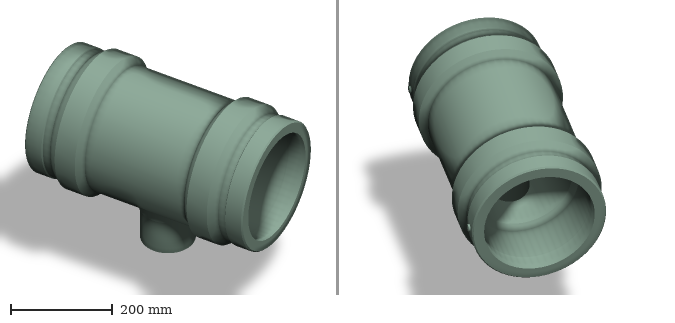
import cadquery as cq

length = 494.0
half_length = length / 2
body_diameter = 264.0
bell_diameter = 293.0
neck_diameter = 267.5
collar_diameter = 272.5

collar_bevel = 3.0
collar_end = 38.5
neck_start = 40.5
neck_end = 56.5
bell_start = 74.5
bell_end = 120.0
body_start = 134.5

mouth_diameter = 225.0
socket_diameter = 225.5
mouth_end = 36.5
socket_start = 40.5
bore_taper_start = 122.0
bore_taper_end = 132.5
bore_diameter = 202.5

branch_diameter = 110.0
branch_collar_diameter = 115.5
branch_bore_diameter = 88.0
branch_collar_bottom = -bell_diameter / 2
overall_height = 371.5
branch_bottom = bell_diameter / 2 - overall_height

pin_diameter = 14.5
pin_inset = 20.5
pin_height = 4.0
pin_top = collar_diameter / 2 + pin_height


def revolve_symmetric(stations):
    """Solid of revolution about X, from (distance from end, diameter) pairs mirrored about X = 0."""
    left = [(inset - half_length, diameter / 2) for inset, diameter in stations]
    right = [(-x, radius) for x, radius in reversed(left)]
    outline = [(-half_length, 0), *left, *right, (half_length, 0)]
    return cq.Workplane("XY").polyline(outline).close().revolve(360, (0, 0, 0), (1, 0, 0))


def downward_cylinder(diameter, bottom):
    """Vertical cylinder from the pipe axis down to the given height."""
    return cq.Workplane("XY").circle(diameter / 2).extrude(bottom)


def terminal_pin(x):
    """Pin reaching from inside the collar wall out to its +Y tip."""
    root = (mouth_diameter + collar_diameter) / 4
    pin = cq.Workplane("XZ", origin=(x, root, 0)).circle(pin_diameter / 2)
    return pin.extrude(root - pin_top)


outer = revolve_symmetric([
    (0, neck_diameter),
    (collar_bevel, collar_diameter),
    (collar_end, collar_diameter),
    (neck_start, neck_diameter),
    (neck_end, neck_diameter),
    (bell_start, bell_diameter),
    (bell_end, bell_diameter),
    (body_start, body_diameter),
])

bore = revolve_symmetric([
    (0, mouth_diameter),
    (mouth_end, mouth_diameter),
    (socket_start, socket_diameter),
    (bore_taper_start, socket_diameter),
    (bore_taper_end, bore_diameter),
])

branch = downward_cylinder(branch_diameter, branch_bottom)
branch_collar = downward_cylinder(branch_collar_diameter, branch_collar_bottom)
branch_bore = downward_cylinder(branch_bore_diameter, branch_bottom)

result = outer.union(branch).union(branch_collar)
for side in (-1, 1):
    result = result.union(terminal_pin(side * (half_length - pin_inset)))
result = result.cut(bore).cut(branch_bore)